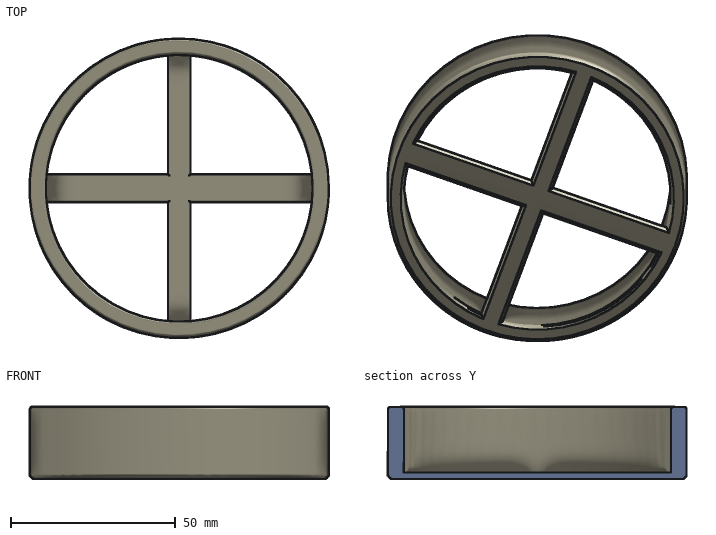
import cadquery as cq

outer_diameter = 91.0
inner_diameter = 81.0
height = 22.0
rim_fillet = 1.0

spoke_x_width = 8.55
spoke_y_width = 6.9
spoke_thickness = 2.0
spoke_fillet = 0.55

base_chamfer = 1.0
base_blend_radius = 1.0

spoke_length = (outer_diameter + inner_diameter) / 2


def edges_at_height(z):
    """Select the edges lying in the horizontal plane at height z."""
    tolerance = 0.01
    reach = outer_diameter
    return cq.selectors.BoxSelector(
        (-reach, -reach, z - tolerance),
        (reach, reach, z + tolerance),
        boundingbox=True,
    )


def soften_base(body):
    """Chamfer the underside edges, then blend the chamfers into the walls."""
    body = body.faces("<Z").edges().chamfer(base_chamfer)
    return body.edges(edges_at_height(base_chamfer)).fillet(base_blend_radius)


def make_ring():
    ring = cq.Workplane("XY").circle(outer_diameter / 2).circle(inner_diameter / 2).extrude(height)
    ring = ring.faces(">Z").edges().fillet(rim_fillet)
    return soften_base(ring)


def make_cross():
    along_x = cq.Workplane("XY").rect(spoke_length, spoke_x_width).extrude(spoke_thickness)
    along_y = cq.Workplane("XY").rect(spoke_y_width, spoke_length).extrude(spoke_thickness)
    return along_x.union(along_y)


def round_cross(cross):
    """Round the upper edges of the spokes and soften the lower ones."""
    cross = soften_base(cross)
    return cross.faces(">Z").edges().fillet(spoke_fillet)


result = make_ring().union(round_cross(make_cross()))